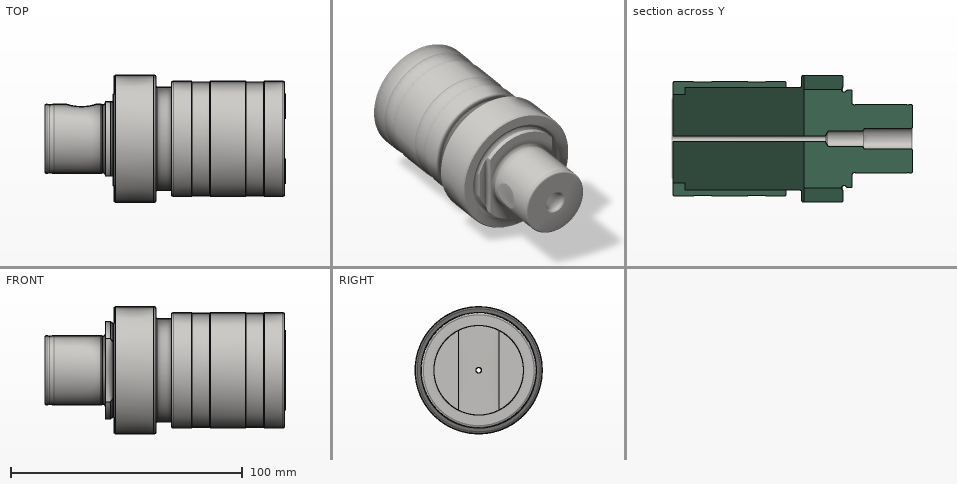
import cadquery as cq
import math

flange_start = 26.1
nut_start = 30.0
body_start = 47.0
sleeve_start = 54.6
sleeve_end = 103.6
key_end = 104.0

shank_radius = 15.0
nose_round = 0.8
nose_groove_bottom = 2.0
nose_groove_end = 4.0
nose_groove_depth = 0.2
relief_start = 24.2
relief_bottom_start = 24.9
relief_depth = 0.2
relief_fillet = 0.9
flange_radius = 21.1
flange_rim_end = 28.3
neck_groove_radius = 20.3
neck_groove_start = 29.3
neck_groove_end = 29.5
neck_radius = 21.4
neck_groove_fillet = neck_radius - neck_groove_radius
width_across_flats = 32.2

notch_center = 15.8
notch_depth = 1.0
notch_half_length = 6.5

mouth_radius = 4.9
wide_bore_radius = 4.4
wide_bore_depth = 20.8
narrow_bore_radius = 3.3
narrow_bore_depth = 36.4
coolant_radius = 1.1
drill_half_angle = math.radians(59)

nut_diameter = 55.0
nut_radius = nut_diameter / 2
nut_chamfer = 0.6
nut_chamfer_drop = 0.4
recess_mouth_radius = 22.6
recess_depth = 0.7

body_flange_end = 48.0
body_flange_round = 0.9
journal_radius = 22.4
journal_fillet = 0.5
key_radius = 19.3
key_slot_width = 17.5

sleeve_radius = 25.0
sleeve_round = 1.0
sleeve_lip = 5.2
grip_groove_depth = 0.3
grip_groove_length = 8.2
grip_groove_starts = (63.2, 86.6)


def revolved(profile):
    """Turn a closed profile, drawn as (x, radius), around the X axis."""
    return profile.close().revolve(360, (0, 0, 0), (1, 0, 0))


def rod(radius, start, end):
    """Cylinder on the X axis between two stations."""
    return cq.Workplane("YZ").workplane(offset=start).circle(radius).extrude(end - start)


def drill_point_length(large_radius, small_radius):
    """Axial length of a drill-point cone between two radii."""
    return (large_radius - small_radius) / math.tan(drill_half_angle)


def spindle_blank():
    """Turned spindle shape, before the flats, the notch and the bore are cut."""
    relief_radius = shank_radius - relief_depth
    neck_shoulder = neck_groove_end + neck_groove_fillet
    profile = (
        cq.Workplane("XY")
        .moveTo(0, 0)
        .lineTo(0, shank_radius - nose_round)
        .radiusArc((nose_round, shank_radius), nose_round)
        .lineTo(nose_groove_bottom, shank_radius - nose_groove_depth)
        .lineTo(nose_groove_end, shank_radius)
        .lineTo(relief_start, shank_radius)
        .lineTo(relief_bottom_start, relief_radius)
        .lineTo(flange_start - relief_fillet, relief_radius)
        .radiusArc((flange_start, relief_radius + relief_fillet), -relief_fillet)
        .lineTo(flange_start, flange_radius)
        .lineTo(flange_rim_end, flange_radius)
        .lineTo(neck_groove_start, neck_groove_radius)
        .lineTo(neck_groove_end, neck_groove_radius)
        .radiusArc((neck_shoulder, neck_radius), -neck_groove_fillet)
        .lineTo(body_start, neck_radius)
        .lineTo(body_start, 0)
    )
    return revolved(profile)


def flat_cutters():
    """Two blocks that leave the flange with flats facing -Y and +Y."""
    length = neck_groove_end - flange_start
    offset = (width_across_flats + flange_radius) / 2
    return (
        cq.Workplane("XY")
        .pushPoints([(flange_start + length / 2, side * offset) for side in (-1, 1)])
        .box(length, flange_radius, 2 * flange_radius)
    )


def notch_cutter():
    """Cylinder along Z whose arc dips into the +Y side of the shank."""
    radius = (notch_half_length**2 + notch_depth**2) / (2 * notch_depth)
    center_y = shank_radius - notch_depth + radius
    return (
        cq.Workplane("XY")
        .center(notch_center, center_y)
        .circle(radius)
        .extrude(shank_radius, both=True)
    )


def stepped_bore():
    """Bore that narrows in two drill-point cones and runs through the spindle."""
    wide_cone_end = wide_bore_depth + drill_point_length(wide_bore_radius, narrow_bore_radius)
    narrow_cone_end = narrow_bore_depth + drill_point_length(narrow_bore_radius, coolant_radius)
    profile = (
        cq.Workplane("XY")
        .moveTo(0, 0)
        .lineTo(0, mouth_radius)
        .lineTo(mouth_radius - wide_bore_radius, wide_bore_radius)
        .lineTo(wide_bore_depth, wide_bore_radius)
        .lineTo(wide_cone_end, narrow_bore_radius)
        .lineTo(narrow_bore_depth, narrow_bore_radius)
        .lineTo(narrow_cone_end, coolant_radius)
        .lineTo(body_start, coolant_radius)
        .lineTo(body_start, 0)
    )
    return revolved(profile)


def make_spindle():
    return spindle_blank().cut(flat_cutters()).cut(notch_cutter()).cut(stepped_bore())


def make_nut():
    profile = (
        cq.Workplane("XY")
        .moveTo(nut_start, recess_mouth_radius)
        .lineTo(nut_start, nut_radius - nut_chamfer_drop)
        .lineTo(nut_start + nut_chamfer, nut_radius)
        .lineTo(body_start, nut_radius)
        .lineTo(body_start, neck_radius)
        .lineTo(nut_start + recess_depth, neck_radius)
    )
    return revolved(profile)


def make_body():
    profile = (
        cq.Workplane("XY")
        .moveTo(body_start, coolant_radius)
        .lineTo(body_start, nut_radius)
        .lineTo(body_flange_end - body_flange_round, nut_radius)
        .radiusArc((body_flange_end, nut_radius - body_flange_round), body_flange_round)
        .lineTo(body_flange_end, journal_radius + journal_fillet)
        .radiusArc((body_flange_end + journal_fillet, journal_radius), -journal_fillet)
        .lineTo(sleeve_end - sleeve_lip, journal_radius)
        .lineTo(sleeve_end - sleeve_lip, key_radius)
        .lineTo(key_end, key_radius)
        .lineTo(key_end, coolant_radius)
    )
    key_length = key_end - sleeve_end
    slot = cq.Workplane("XY").box(key_length, key_slot_width, 2 * key_radius)
    return revolved(profile).cut(slot.translate((sleeve_end + key_length / 2, 0, 0)))


def grip_groove(start):
    """Shallow ring with 45-degree sides, to be cut from the outside of the sleeve."""
    end = start + grip_groove_length
    floor_radius = sleeve_radius - grip_groove_depth
    profile = (
        cq.Workplane("XY")
        .moveTo(start, sleeve_radius)
        .lineTo(start + grip_groove_depth, floor_radius)
        .lineTo(end - grip_groove_depth, floor_radius)
        .lineTo(end, sleeve_radius)
    )
    return revolved(profile)


def make_sleeve():
    sleeve = rod(sleeve_radius, sleeve_start, sleeve_end).edges().fillet(sleeve_round)
    sleeve = sleeve.cut(rod(journal_radius, sleeve_start, sleeve_end - sleeve_lip))
    sleeve = sleeve.cut(rod(key_radius, sleeve_end - sleeve_lip, sleeve_end))
    for start in grip_groove_starts:
        sleeve = sleeve.cut(grip_groove(start))
    return sleeve


spindle = make_spindle()
nut = make_nut()
body = make_body()
sleeve = make_sleeve()

result = cq.Compound.makeCompound([spindle.val(), nut.val(), body.val(), sleeve.val()])